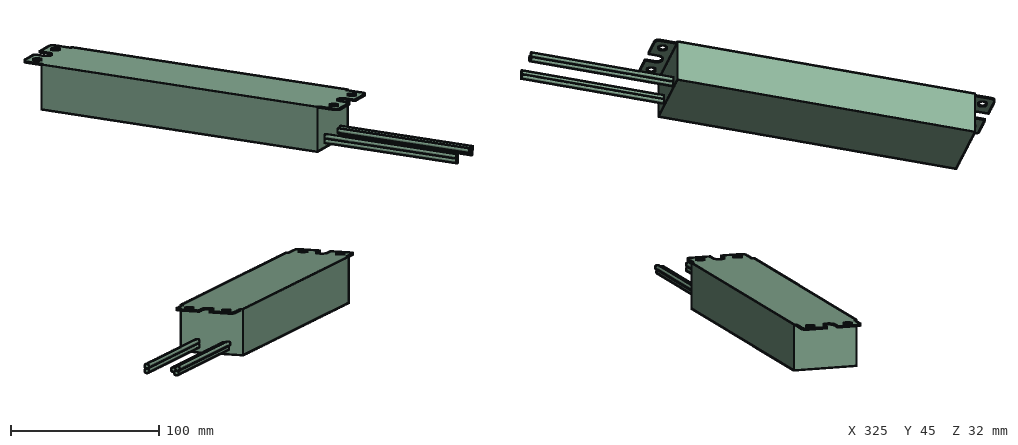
import cadquery as cq
import math

body_length = 210.0
body_width = 45.0
body_height = 32.0

tab_length = 15.0
tab_thickness = 1.0
tab_inset = 1.5
tab_width = body_width - 2 * tab_inset
tab_corner_radius = 3.0
slot_width = 7.8
slot_depth = 11.0
hole_diameter = 6.0
hole_end_distance = 7.0
hole_spacing = 26.5

overall_length = 325.0
wire_length = overall_length - tab_length - body_length
wire_diameter = 3.2
wire_overlap = 1.5
touch_overlap = 0.05
wire_pitch = wire_diameter - touch_overlap
lower_wire_z = 4.5
upper_wire_z = lower_wire_z + wire_pitch
pair_y = -10.5

trio_y = 10.5
trio_z = (lower_wire_z + upper_wire_z) / 2
trio_radius = wire_pitch / math.sqrt(3)
trio_angles = [45, 165, 285]


def make_body():
    return cq.Workplane("XY").box(
        body_length, body_width, body_height, centered=(False, True, False)
    )


def make_tab():
    """Tab on the left end, reaching from X = -tab_length to the housing."""
    tab = (
        cq.Workplane("XY", origin=(-tab_length, 0, body_height - tab_thickness))
        .box(tab_length, tab_width, tab_thickness, centered=(False, True, False))
        .edges("|Z and <X")
        .fillet(tab_corner_radius)
    )
    hole_x = hole_end_distance - tab_length
    holes = (
        cq.Workplane("XY")
        .pushPoints([(hole_x, side * hole_spacing / 2) for side in (-1, 1)])
        .circle(hole_diameter / 2)
        .extrude(body_height)
    )
    slot = (
        cq.Workplane("XY")
        .center(-tab_length, 0)
        .slot2D(2 * slot_depth, slot_width)
        .extrude(body_height)
    )
    return tab.cut(holes).cut(slot)


def make_wire(centre):
    """Straight round wire along X at the given (Y, Z) centre."""
    return (
        cq.Workplane("YZ", origin=(body_length - wire_overlap, 0, 0))
        .center(*centre)
        .circle(wire_diameter / 2)
        .extrude(wire_length + wire_overlap)
    )


left_tab = make_tab()
right_tab = left_tab.mirror("YZ").translate((body_length, 0, 0))

wire_centres = [(pair_y, lower_wire_z), (pair_y, upper_wire_z)]
for angle in trio_angles:
    wire_y = trio_y + trio_radius * math.cos(math.radians(angle))
    wire_z = trio_z + trio_radius * math.sin(math.radians(angle))
    wire_centres.append((wire_y, wire_z))

result = make_body().union(left_tab).union(right_tab)
for centre in wire_centres:
    result = result.union(make_wire(centre))